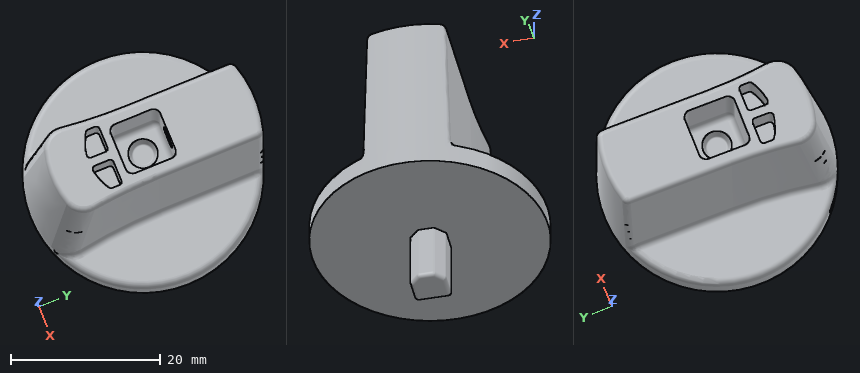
import cadquery as cq
import math

disc_diameter = 32.4
disc_radius = disc_diameter / 2
disc_height = 3.55
edge_round = 1.0
rim_angle = math.radians(82)

grip_top = 24.98
grip_half_width = 6.13
side_draft = 1.6
flare_radius = 73.25
front_top_radius = 13.3
front_slope = math.atan((disc_radius - front_top_radius) / (grip_top - disc_height))
front_corner_round = 3.0
rear_corner_round = 1.0
grip_edge_round = 0.8
grip_reach = 19.98
root_half_width = 8.32

pin_size = 5.0
pin_length = 8.32
pin_key_chamfer = 1.4
pin_round = 0.45
pin_end_round = 0.55

socket_size = 7.2
socket_depth = 9.32
socket_round = 1.0
socket_floor = grip_top - socket_depth
dimple_sphere_radius = 2.8
dimple_radius = 1.5
dimple_depth = 4.73
floor_hole_mouth = 4.0
floor_hole_bottom = 2.85
floor_hole_depth = 1.0
floor_hole_round = 0.25

well_inner = 0.6
well_outer = 4.3
well_rear = -4.73
well_arc_radius = 7.8
well_depth = 5.0
well_round = 0.5


def grip_sides():
    """Drafted rib: straight to the rear, flaring along arcs to the front."""
    def flare(y):
        bend = flare_radius - math.sqrt(flare_radius**2 - y**2)
        return grip_half_width + bend

    mid, end = -grip_reach / 2, -grip_reach
    return (
        cq.Workplane("XY")
        .moveTo(-grip_half_width, grip_reach)
        .lineTo(grip_half_width, grip_reach)
        .lineTo(grip_half_width, 0)
        .threePointArc((flare(mid), mid), (flare(end), end))
        .lineTo(-flare(end), end)
        .threePointArc((-flare(mid), mid), (-grip_half_width, 0))
        .close()
        .extrude(grip_top, taper=side_draft)
    )


def grip_envelope():
    """Upright cylinder behind the X axis, cone in front of it."""
    foot_radius = disc_radius + disc_height * math.tan(front_slope)
    rear = cq.Workplane("XZ").rect(disc_radius, grip_top, centered=False)
    front = (
        cq.Workplane("XZ")
        .polyline([(0, 0), (-foot_radius, 0), (-front_top_radius, grip_top), (0, grip_top)])
        .close()
    )
    axis = ((0, 0, 0), (0, 1, 0))
    return rear.revolve(180, *axis).union(front.revolve(180, *axis))


def build_grip():
    """Rib trimmed to its envelope, with its four upright edges rounded."""
    grip = grip_sides().intersect(grip_envelope())
    grip = grip.faces("<Y").edges("not %CIRCLE").fillet(front_corner_round)
    return grip.faces(">Y").edges("%ELLIPSE").fillet(rear_corner_round)


def domed_plate():
    """Disc with its rounded rim running on outwards as a cone, so that the grip root meets one skin."""
    rim = disc_radius - edge_round
    shoulder = disc_height - edge_round

    def on_round(angle):
        return (rim + edge_round * math.sin(angle), shoulder + edge_round * math.cos(angle))

    end_radius, end_height = on_round(rim_angle)
    skirt = end_height / math.tan(rim_angle)
    return (
        cq.Workplane("XZ")
        .lineTo(end_radius + skirt, 0)
        .lineTo(end_radius, end_height)
        .threePointArc(on_round(rim_angle / 2), (rim, disc_height))
        .lineTo(0, disc_height)
        .close()
        .revolve(360, (0, 0, 0), (0, 1, 0))
    )


def build_body():
    """Disc and grip blended along the grip root, trimmed to the disc outline."""
    body = domed_plate().union(build_grip())
    root_zone = cq.selectors.BoxSelector(
        (-root_half_width, -grip_reach, disc_height - edge_round),
        (root_half_width, grip_reach, disc_height + edge_round),
    )
    body = body.edges(root_zone).fillet(edge_round)
    body = body.intersect(cq.Workplane("XY").circle(disc_radius).extrude(grip_top))
    return body.faces(">Z").edges().fillet(grip_edge_round)


def build_pin():
    """Square pin with its two rear corners cut off as a key."""
    pin = cq.Workplane("XY").rect(pin_size, pin_size).extrude(-pin_length)
    pin = pin.edges("|Z and >Y").chamfer(pin_key_chamfer)
    pin = pin.edges("|Z").fillet(pin_round)
    return pin.faces("<Z").edges().fillet(pin_end_round)


def socket_cutter():
    """Square pocket with a rounded floor and a tapered hole in it."""
    cutter = (
        cq.Workplane("XY", origin=(0, 0, socket_floor))
        .rect(socket_size, socket_size)
        .extrude(socket_depth)
        .edges("|Z or <Z")
        .fillet(socket_round)
    )
    floor_hole = (
        cq.Workplane("XZ", origin=(0, 0, socket_floor))
        .polyline([
            (0, 0),
            (floor_hole_mouth / 2, 0),
            (floor_hole_bottom / 2, -floor_hole_depth),
            (0, -floor_hole_depth),
        ])
        .close()
        .revolve(360, (0, 0, 0), (0, 1, 0))
        .faces("<Z")
        .edges()
        .fillet(floor_hole_round)
    )
    return cutter.union(floor_hole)


def dimple_cutter():
    """Spherical cap standing on the rear wall of the socket."""
    wall = socket_size / 2
    centre = wall - math.sqrt(dimple_sphere_radius**2 - dimple_radius**2)
    half_angle = math.asin(dimple_radius / dimple_sphere_radius) / 2
    mid_arc = (
        dimple_sphere_radius * math.sin(half_angle),
        centre + dimple_sphere_radius * math.cos(half_angle),
    )
    return (
        cq.Workplane("XY")
        .moveTo(0, wall)
        .lineTo(dimple_radius, wall)
        .threePointArc(mid_arc, (0, centre + dimple_sphere_radius))
        .close()
        .revolve(360, (0, 0, 0), (0, 1, 0))
        .translate((0, 0, grip_top - dimple_depth))
    )


def well_cutter():
    """Right-hand well: a block trimmed in front by an arc about the knob axis."""
    block = (
        cq.Workplane("XY", origin=(0, 0, grip_top - well_depth))
        .moveTo(well_inner, well_rear)
        .rect(well_outer - well_inner, -well_arc_radius, centered=False)
        .extrude(well_depth)
    )
    trim = cq.Workplane("XY").circle(well_arc_radius).extrude(grip_top)
    return block.intersect(trim).edges("|Z").fillet(well_round)


well = well_cutter()
result = build_body().union(build_pin())
for cutter in [socket_cutter(), dimple_cutter(), well, well.mirror("YZ")]:
    result = result.cut(cutter)